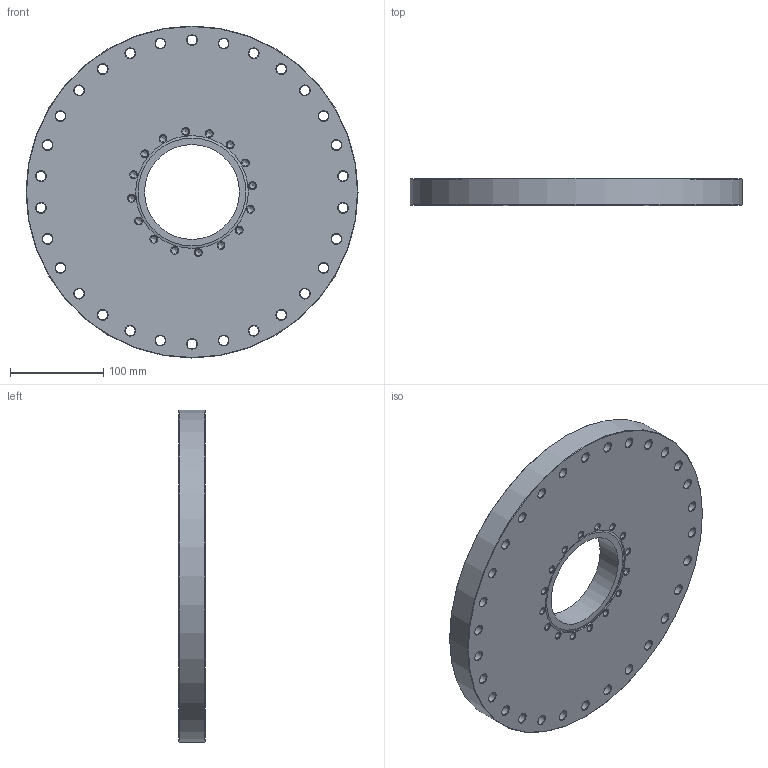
import cadquery as cq
import math

outer_diameter = 355.6
thickness = 28.4
rim_chamfer = 0.5
bore_diameter = 101.6

rim_hole_count = 30
rim_hole_diameter = 10.5
rim_hole_chamfer = 0.5
rim_circle_diameter = 325.4
rim_first_angle = 90.0

inner_hole_count = 16
inner_hole_diameter = 6.8
inner_circle_diameter = 130.2
inner_first_angle = 6.0
inner_hole_depth = 16.0
inner_hole_chamfer = 0.8
drill_point_angle = 118.0

groove_outer_diameter = 120.7
knife_edge_diameter = 115.4
land_depth = 1.0
groove_depth = 1.7


def hole_positions(count, circle_diameter, first_angle):
    """Evenly spaced points on a circle in the front face."""
    return cq.Workplane("XZ").polarArray(circle_diameter / 2, first_angle, 360, count)


def make_disc():
    """Flat disc with both rim edges chamfered."""
    disc = cq.Workplane("XZ").circle(outer_diameter / 2).extrude(-thickness)
    return disc.edges().chamfer(rim_chamfer)


def make_bore():
    return cq.Workplane("XZ").circle(bore_diameter / 2).extrude(-thickness)


def make_seal_recess():
    """Revolved recess: a sunken land around the bore and a groove outside the knife edge."""
    groove_radius = groove_outer_diameter / 2
    profile = (
        cq.Workplane("XY")
        .lineTo(groove_radius, 0)
        .lineTo(groove_radius, groove_depth)
        .lineTo(knife_edge_diameter / 2, land_depth)
        .lineTo(0, land_depth)
        .close()
    )
    return profile.revolve(360, (0, 0, 0), (0, 1, 0))


def make_hole_tool(diameter, chamfer, depth, point_length):
    """Hole bored down from Z = 0, with a chamfered mouth and a conical or flat end."""
    radius = diameter / 2
    profile = (
        cq.Workplane("XZ")
        .lineTo(radius + chamfer, 0)
        .lineTo(radius, -chamfer)
        .lineTo(radius, -depth)
        .lineTo(0, -depth - point_length)
        .close()
    )
    return profile.revolve(360, (0, 0, 0), (0, 1, 0)).val()


def make_rim_holes():
    """Through holes, chamfered at the front face."""
    hole = make_hole_tool(rim_hole_diameter, rim_hole_chamfer, thickness, 0)
    positions = hole_positions(rim_hole_count, rim_circle_diameter, rim_first_angle)
    return positions.eachpoint(hole, useLocalCoordinates=True)


def make_inner_holes():
    """Blind holes, chamfered at the front face and ending in a drill point."""
    point_length = inner_hole_diameter / 2 / math.tan(math.radians(drill_point_angle / 2))
    hole = make_hole_tool(inner_hole_diameter, inner_hole_chamfer, inner_hole_depth, point_length)
    positions = hole_positions(inner_hole_count, inner_circle_diameter, inner_first_angle)
    return positions.eachpoint(hole, useLocalCoordinates=True)


result = (
    make_disc()
    .cut(make_bore())
    .cut(make_seal_recess())
    .cut(make_rim_holes())
    .cut(make_inner_holes())
)